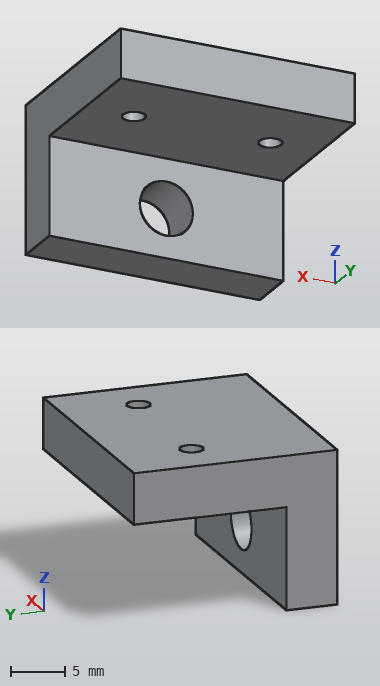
import cadquery as cq

width = 24.0
depth = 20.0
height = 15.0
thickness = 5.0

bore_diameter = 5.42
bore_height = 5.0

screw_hole_diameter = 2.2
screw_hole_spacing = 14.0
screw_hole_back_offset = 7.5

top_plate = cq.Workplane("XY").box(width, depth, thickness, centered=(True, False, False))
top_plate = top_plate.translate((0, 0, height - thickness))
front_wall = cq.Workplane("XY").box(width, thickness, height, centered=(True, False, False))
body = top_plate.union(front_wall)

bore = (
    cq.Workplane("XZ", origin=(0, 0, bore_height))
    .circle(bore_diameter / 2)
    .extrude(-thickness)
)

screw_holes = (
    cq.Workplane("XY", origin=(0, depth - screw_hole_back_offset, height))
    .pushPoints([(side * screw_hole_spacing / 2, 0) for side in (-1, 1)])
    .circle(screw_hole_diameter / 2)
    .extrude(-thickness)
)

result = body.cut(bore).cut(screw_holes)